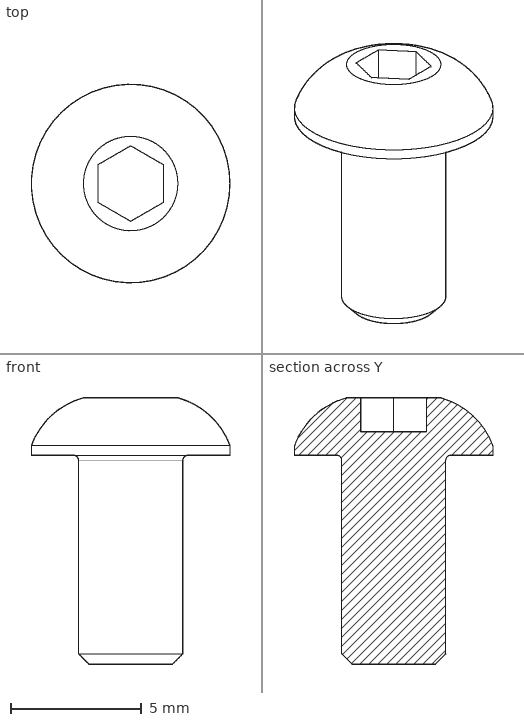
import cadquery as cq
import math

total_height = 10.2
head_height = 2.2
head_radius = 7.6 / 2
rim_height = 0.38
crown_flat_radius = 3.61 / 2
crown_radius = 2.96
shank_radius = 4.0 / 2
neck_fillet = 0.2
tip_chamfer = 0.41
hex_across_flats = 2.5
hex_depth = 1.3

head_bottom = total_height - head_height
rim_top = head_bottom + rim_height

chord_run = head_radius - crown_flat_radius
chord_rise = total_height - rim_top
chord_length = math.hypot(chord_run, chord_rise)
crown_sagitta = crown_radius - math.sqrt(crown_radius**2 - (chord_length / 2) ** 2)
crown_mid_radius = (head_radius + crown_flat_radius) / 2 + crown_sagitta * chord_rise / chord_length
crown_mid_z = (total_height + rim_top) / 2 + crown_sagitta * chord_run / chord_length


def make_body():
    """Revolve the half profile of the head and shank about Z."""
    arc_offset = neck_fillet * (1 - math.sqrt(0.5))
    profile = (
        cq.Workplane("XZ")
        .moveTo(0, 0)
        .lineTo(shank_radius - tip_chamfer, 0)
        .lineTo(shank_radius, tip_chamfer)
        .lineTo(shank_radius, head_bottom - neck_fillet)
        .threePointArc(
            (shank_radius + arc_offset, head_bottom - arc_offset),
            (shank_radius + neck_fillet, head_bottom),
        )
        .lineTo(head_radius, head_bottom)
        .lineTo(head_radius, rim_top)
        .threePointArc((crown_mid_radius, crown_mid_z), (crown_flat_radius, total_height))
        .lineTo(0, total_height)
        .close()
    )
    return profile.revolve(360, (0, 0, 0), (0, 1, 0))


def make_hex_socket():
    """Blind hexagon with its corners on the Y axis."""
    across_corners = hex_across_flats / math.cos(math.radians(30))
    return (
        cq.Workplane("XY")
        .workplane(offset=total_height - hex_depth)
        .transformed(rotate=(0, 0, 90))
        .polygon(6, across_corners)
        .extrude(hex_depth)
    )


result = make_body().cut(make_hex_socket())